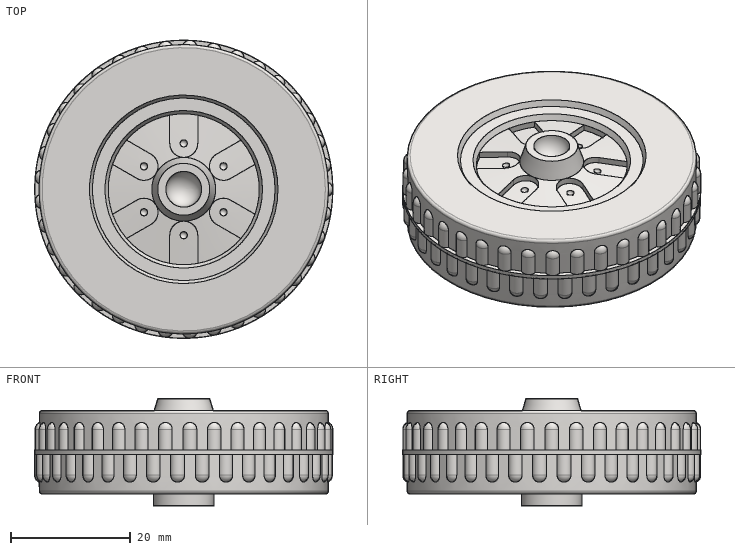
import cadquery as cq

TYRE_RADIUS = 24.25
TYRE_WIDTH = 14.0
TYRE_EDGE_FILLET = 0.5
TYRE_BORE_RADIUS = 15.3
TYRE_MOUTH_RADIUS = 15.8

TREAD_RADIUS = 25.0
BAND_WIDTH = 0.7
RIBS_PER_ROW = 37
RIB_RADIUS = 1.25
RIB_LENGTH = 3.85
RIB_CENTRE_RADIUS = TREAD_RADIUS - RIB_RADIUS
RIB_PITCH = 360 / RIBS_PER_ROW

RIM_RECESS = 1.0
DISH_MOUTH_RADIUS = 13.2
DISH_FLOOR_RADIUS = 12.65
DISH_DEPTH = 1.0
DISH_RISE = 0.75

HUB_HALF_LENGTH = 9.0
HUB_TOP_RADIUS = 4.35
HUB_ROOT_RADIUS = 5.35
HUB_LOWER_RADIUS = 5.1
HUB_SOCKET_RADIUS = 3.0

POCKET_COUNT = 6
POCKET_WIDTH = 4.7
POCKET_DEPTH = 1.1
POCKET_DISTANCE = 7.7
POCKET_FIRST_ANGLE = 30
DIMPLE_RADIUS = 0.6

TYRE_TOP = TYRE_WIDTH / 2
TYRE_BOTTOM = -TYRE_TOP
RIM_TOP = TYRE_TOP - RIM_RECESS
DISH_EDGE_Z = RIM_TOP - DISH_DEPTH
DISH_ROOT_Z = DISH_EDGE_Z + DISH_RISE
DISH_SLOPE = DISH_RISE / (DISH_FLOOR_RADIUS - HUB_ROOT_RADIUS)


def dish_floor_z(radius):
    """Height of the conical dish floor at a distance from the axis."""
    return DISH_EDGE_Z + DISH_SLOPE * (DISH_FLOOR_RADIUS - radius)


def revolve_profile(points):
    """Turn a closed outline of (radius, z) points around the Z axis."""
    return cq.Workplane("XZ").polyline(points).close().revolve(360, (0, 0), (0, 1))


def make_rib(direction, angle):
    """One tread rib running up (+1) or down (-1) from the mid-plane, with a rounded end."""
    end_z = direction * RIB_LENGTH
    shaft = cq.Workplane("XY").center(RIB_CENTRE_RADIUS, 0).circle(RIB_RADIUS).extrude(end_z)
    tip = cq.Workplane("XY").sphere(RIB_RADIUS).translate((RIB_CENTRE_RADIUS, 0, end_z))
    return shaft.union(tip).rotate((0, 0, 0), (0, 0, 1), angle)


def make_tyre():
    """The ring with its tread, hollowed to fit around the rim."""
    body = cq.Workplane("XY", origin=(0, 0, TYRE_BOTTOM)).circle(TYRE_RADIUS).extrude(TYRE_WIDTH)
    body = body.edges().fillet(TYRE_EDGE_FILLET)
    band = cq.Workplane("XY").circle(TREAD_RADIUS).extrude(BAND_WIDTH / 2, both=True)
    ribs = []
    for index in range(RIBS_PER_ROW):
        angle = index * RIB_PITCH
        ribs.append(make_rib(1, angle).val())
        ribs.append(make_rib(-1, angle + RIB_PITCH / 2).val())
    body = cq.Workplane(body.union(band).val().fuse(*ribs))
    bore = revolve_profile([
        (0, TYRE_BOTTOM),
        (TYRE_BORE_RADIUS, TYRE_BOTTOM),
        (TYRE_BORE_RADIUS, RIM_TOP),
        (TYRE_MOUTH_RADIUS, TYRE_TOP),
        (0, TYRE_TOP),
    ])
    return body.cut(bore)


def make_pockets():
    """The cutting shapes of the pockets, a constant depth below the dish floor, with their dimples."""
    layer = revolve_profile([
        (0, dish_floor_z(0)),
        (0, dish_floor_z(0) - POCKET_DEPTH),
        (DISH_FLOOR_RADIUS, DISH_EDGE_Z - POCKET_DEPTH),
        (DISH_FLOOR_RADIUS, DISH_EDGE_Z),
    ])
    half_width = POCKET_WIDTH / 2
    slot = (
        cq.Workplane("XY")
        .moveTo(DISH_MOUTH_RADIUS, -half_width)
        .lineTo(POCKET_DISTANCE, -half_width)
        .threePointArc((POCKET_DISTANCE - half_width, 0), (POCKET_DISTANCE, half_width))
        .lineTo(DISH_MOUTH_RADIUS, half_width)
        .close()
        .extrude(TYRE_TOP)
    )
    pocket = slot.intersect(layer)
    dimple_z = dish_floor_z(POCKET_DISTANCE) - POCKET_DEPTH
    dimple = cq.Workplane("XY").sphere(DIMPLE_RADIUS).translate((POCKET_DISTANCE, 0, dimple_z))
    cutter = pocket.union(dimple)
    angles = [POCKET_FIRST_ANGLE + index * 360 / POCKET_COUNT for index in range(POCKET_COUNT)]
    return [cutter.rotate((0, 0, 0), (0, 0, 1), angle) for angle in angles]


def make_rim():
    """The dished disc and its hub, with the pockets and a ball socket in the top of the hub."""
    rim = revolve_profile([
        (0, -HUB_HALF_LENGTH),
        (HUB_LOWER_RADIUS, -HUB_HALF_LENGTH),
        (HUB_LOWER_RADIUS, TYRE_BOTTOM),
        (TYRE_BORE_RADIUS, TYRE_BOTTOM),
        (TYRE_BORE_RADIUS, RIM_TOP),
        (DISH_MOUTH_RADIUS, RIM_TOP),
        (DISH_FLOOR_RADIUS, DISH_EDGE_Z),
        (HUB_ROOT_RADIUS, DISH_ROOT_Z),
        (HUB_TOP_RADIUS, HUB_HALF_LENGTH),
        (0, HUB_HALF_LENGTH),
    ])
    for pocket in make_pockets():
        rim = rim.cut(pocket)
    socket = cq.Workplane("XY").sphere(HUB_SOCKET_RADIUS).translate((0, 0, HUB_HALF_LENGTH))
    return rim.cut(socket)


tyre = make_tyre()
rim = make_rim()
result = cq.Compound.makeCompound([tyre.val(), rim.val()])